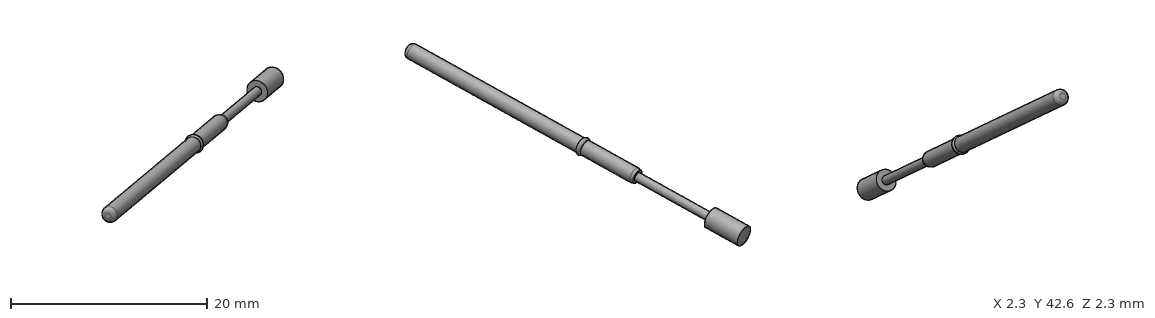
import cadquery as cq

total_length = 42.6
head_length = 4.17
barrel_length = 29.1
shoulder_length = 0.4
collar_width = 0.55
collar_offset = 6.6

head_diameter = 2.3
rod_diameter = 1.0
barrel_diameter = 1.7
shoulder_diameter = 1.55
collar_diameter = 2.0

tail_radius = 0.5

tail_y = -total_length / 2
head_y = total_length / 2


def cylinder(diameter, start_y, end_y):
    """Round bar on the Y axis between two stations."""
    return (
        cq.Workplane("XZ", origin=(0, start_y, 0))
        .circle(diameter / 2)
        .extrude(start_y - end_y)
    )


def barrel():
    """Tube body with a rounded tail, a rounded collar and a tapered shoulder."""
    front_y = tail_y + barrel_length
    collar_end_y = front_y - collar_offset
    collar_start_y = collar_end_y - collar_width
    radius = barrel_diameter / 2
    collar_middle = (collar_diameter / 2, (collar_start_y + collar_end_y) / 2)
    return (
        cq.Workplane("XY")
        .moveTo(0, tail_y)
        .lineTo(radius - tail_radius, tail_y)
        .radiusArc((radius, tail_y + tail_radius), -tail_radius)
        .lineTo(radius, collar_start_y)
        .threePointArc(collar_middle, (radius, collar_end_y))
        .lineTo(radius, front_y - shoulder_length)
        .lineTo(shoulder_diameter / 2, front_y)
        .lineTo(0, front_y)
        .close()
        .revolve(360, (0, 0, 0), (0, 1, 0))
    )


head = cylinder(head_diameter, head_y - head_length, head_y)
rod = cylinder(rod_diameter, tail_y + barrel_length / 2, head_y - head_length / 2)
result = barrel().union(rod).union(head)